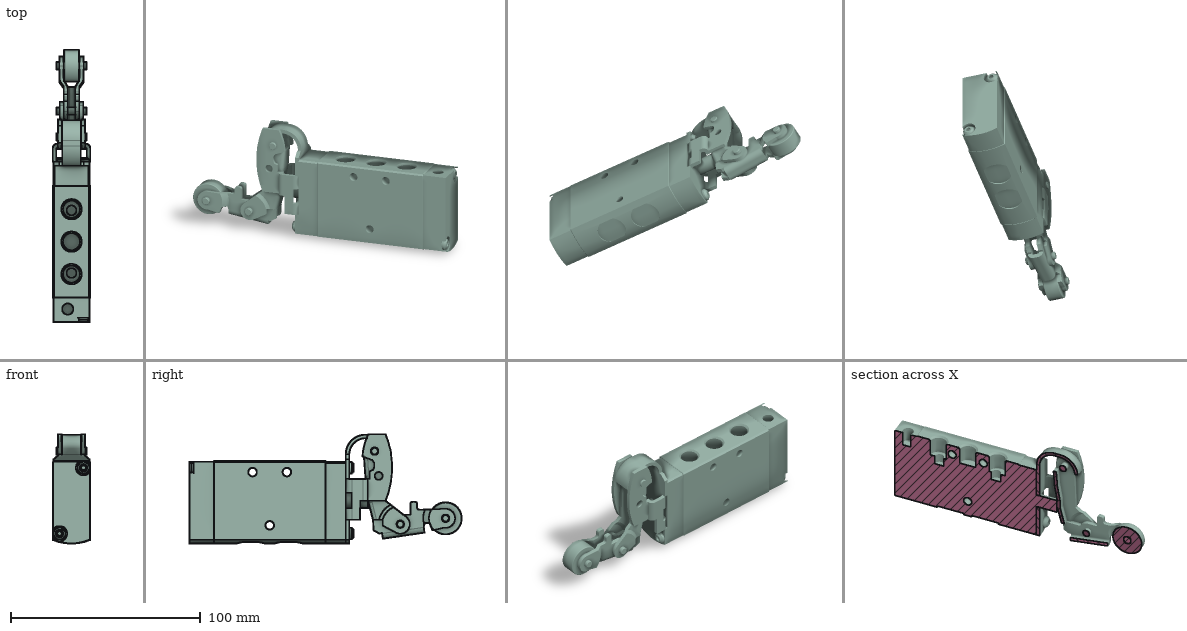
import cadquery as cq
import math


BODY_WIDTH = 20.0
CAP_WIDTH = 19.0
BODY_TOP = 43.6
CAP_TOP = 43.2
DOME_RISE = 2.0
TOP_CHAMFER = 0.8
END_CHAMFER = 0.3
REAR_CAP_END = 12.8
BODY_END = 72.0
FRONT_CAP_END = 82.4
BODY_MID = (REAR_CAP_END + BODY_END) / 2

TOP_PORT_PITCH = 17.1
TOP_PORT_DIAMETER = 9.0
TOP_PORT_MOUTH = 10.8
TOP_PORT_DEPTH = 10.0
PASSAGE_DIAMETER = 5.2
PASSAGE_PITCH = 16.5
PASSAGE_DEPTH = 15.0
BOTTOM_PORT_OFFSET = 10.0
SPOTFACE_DIAMETER = 15.0
SPOTFACE_DEPTH = 0.8
MOUNT_HOLE_DIAMETER = 4.4
MOUNT_UPPER_OFFSET = 9.05
MOUNT_UPPER_Z = 37.7
MOUNT_LOWER_Z = 9.65
CAP_PORT_DIAMETER = 5.92
CAP_PORT_X = -2.0
CAP_PORT_Y = 6.9
CAP_PORT_DEPTH = 8.0

SCREW_PLACES = [(6.3, 40.0), (-6.3, 5.3)]
SCREW_RECESS_DIAMETER = 8.0
SCREW_RECESS_DEPTH = 2.3
SCREW_HEAD_DIAMETER = 6.2
SCREW_HEAD_HEIGHT = 2.2
SCREW_HEAD_CHAMFER = 1.1
SOCKET_DIAMETER = 2.46
SOCKET_DEPTH = 1.2

PLUNGER_DIAMETER = 8.0
PLUNGER_Z = 22.7
PLUNGER_END = 94.2

SHEET = 2.0
CHEEK_INNER = 5.2
CHEEK_OUTER = CHEEK_INNER + SHEET
CHEEK_BOTTOM = 22.5
CHEEK_TOP = 57.72
CHEEK_TOP_BACK = 94.4
CHEEK_FRONT = 103.5
CHEEK_BOW = (106.9, 42.2)
CHEEK_HORN = (91.2, 46.0)
CHEEK_BACK_BOW = (91.9, 50.9)
NOTCH_FOOT = (95.2, 38.2)
NOTCH_LOWER = (96.6, 38.7)
NOTCH_DEEPEST = (97.6, 41.1)
NOTCH_UPPER = (96.3, 44.1)
EAR_HALF_WIDTH = 10.0
EAR_TOP = 34.2
EAR_BOTTOM = 12.5
EAR_BEND_END = 90.1
EAR_FOOT_RADIUS = 3.3
EAR_FOOT_X = EAR_HALF_WIDTH - EAR_FOOT_RADIUS
CHEEK_BACK = 94.15
STRAP_HALF_WIDTH = 5.0
HOOK_INNER_RADIUS = 8.5
HOOK_OUTER_RADIUS = HOOK_INNER_RADIUS + SHEET
HOOK_FLAT = 3.0
HOOK_CENTRE_Z = 47.0
FLARE_BOTTOM = 44.4
FLARE_TOP_HALF_WIDTH = 6.5
SIGHT_HOLE_DIAMETER = 4.15
SIGHT_HOLE = (99.85, 35.7)

PIN_DIAMETER = 4.0
PIN_LENGTH = 16.3
PIN_CHAMFER = 0.3
LEVER_PIVOT = (97.65, 48.75)
LINK_PIVOT = (111.2, 10.25)
ROLLER_DIAMETER = 17.0
ROLLER_PIVOT = (143.59 - ROLLER_DIAMETER / 2, 13.35)
ROLLER_WIDTH = 8.0
ROLLER_EDGE = 0.4
EYE_RADIUS = 5.0
FORK_OUTER = 4.2
FORK_SHEET = 2.2
LEVER_END = 12.5
LINK_FLARE = (9.6, 11.4)
ROLLER_FLARE = (8.8, 11.8)
SHEET_REACH = 60.0


def extrude_x(outline, half_width):
    """Solid between X = -half_width and +half_width from a closed Y-Z outline."""
    return outline.extrude(2 * half_width).translate((-half_width, 0, 0))


def rod_x(pivot, diameter, length):
    """Cylinder along X, centred on X = 0, on a (Y, Z) point."""
    return extrude_x(cq.Workplane("YZ").center(*pivot).circle(diameter / 2), length / 2)


def rod_y(x, z, diameter, start, end):
    """Cylinder along Y between two Y positions."""
    base = cq.Workplane("XZ", origin=(x, start, z))
    return base.circle(diameter / 2).extrude(start - end)


def rod_z(x, y, diameter, bottom, top):
    """Cylinder along Z between two heights."""
    base = cq.Workplane("XY", origin=(x, y, bottom))
    return base.circle(diameter / 2).extrude(top - bottom)


def block(x_range, y_range, z_range):
    """Box given by its low and high limits along each axis."""
    size = [high - low for low, high in (x_range, y_range, z_range)]
    corner = (x_range[0], y_range[0], z_range[0])
    return cq.Workplane("XY", origin=corner).box(*size, centered=False)


def tangent_point(centre, radius, point, side):
    """Point where a line from an outside point touches a circle; side +1 or -1 picks which."""
    dy = point[0] - centre[0]
    dz = point[1] - centre[1]
    angle = math.atan2(dz, dy) + side * math.acos(radius / math.hypot(dy, dz))
    return on_circle(centre, radius, angle)


def on_circle(centre, radius, angle):
    return (centre[0] + radius * math.cos(angle), centre[1] + radius * math.sin(angle))


def mirrored(solid):
    """A solid joined with its mirror image across X = 0."""
    return solid.union(solid.mirror("YZ"))


def flared_sheet(pivot, flare, inner_x, wide_inner_x, thickness):
    """Pair of round sheets that stand wide near a pivot and step inward through a cone."""
    wide_radius, narrow_radius = flare
    wide_part = [(0, wide_inner_x), (wide_radius, wide_inner_x)]
    narrow_part = [(narrow_radius, inner_x), (SHEET_REACH, inner_x)]
    inside = wide_part + narrow_part
    outside = [(r, x + thickness) for r, x in reversed(inside)]
    plane = cq.Plane(origin=(0, *pivot), xDir=(0, 1, 0), normal=(0, 0, -1))
    sheet = cq.Workplane(plane).polyline(inside + outside).close().revolve(360, (0, 0), (0, 1))
    return mirrored(sheet)


def valve_section(width, top, start, end):
    """Length of valve with a domed underside and a flat top."""
    half = width / 2
    profile = (
        cq.Workplane("XZ", origin=(0, start, 0))
        .moveTo(-half, DOME_RISE)
        .threePointArc((0, 0), (half, DOME_RISE))
        .lineTo(half, top)
        .lineTo(-half, top)
        .close()
    )
    return profile.extrude(start - end)


def bevelled_section(width, top, start, end):
    """Valve section with bevelled long top edges."""
    return valve_section(width, top, start, end).edges("|Y and >Z").chamfer(TOP_CHAMFER)


def screw_head(x, z, base, direction):
    """Bevelled screw head rising from Y = base towards +Y or -Y (direction +1 or -1)."""
    top = base + direction * SCREW_HEAD_HEIGHT
    outer_face = ">Y" if direction > 0 else "<Y"
    head = rod_y(x, z, SCREW_HEAD_DIAMETER, base, top).faces(outer_face).chamfer(SCREW_HEAD_CHAMFER)
    return head.cut(rod_y(x, z, SOCKET_DIAMETER, top, top - direction * SOCKET_DEPTH))


def top_port(y):
    """Countersunk round port cutter for the top face."""
    lip = (TOP_PORT_MOUTH - TOP_PORT_DIAMETER) / 2
    bottom = BODY_TOP - TOP_PORT_DEPTH
    half_section = [
        (0, bottom),
        (TOP_PORT_DIAMETER / 2, bottom),
        (TOP_PORT_DIAMETER / 2, BODY_TOP - lip),
        (TOP_PORT_MOUTH / 2, BODY_TOP),
        (0, BODY_TOP),
    ]
    cutter = cq.Workplane("XZ", origin=(0, y, 0)).polyline(half_section).close()
    return cutter.revolve(360, (0, 0), (0, 1))


def make_valve():
    body = bevelled_section(BODY_WIDTH, BODY_TOP, REAR_CAP_END, BODY_END)
    body = body.faces("<Y or >Y").chamfer(END_CHAMFER)
    valve = body.union(valve_section(CAP_WIDTH, CAP_TOP, 0, REAR_CAP_END))
    valve = valve.union(bevelled_section(CAP_WIDTH, CAP_TOP, BODY_END, FRONT_CAP_END))
    valve = valve.union(rod_y(0, PLUNGER_Z, PLUNGER_DIAMETER, BODY_END, PLUNGER_END))

    for step in (-1, 0, 1):
        valve = valve.cut(top_port(BODY_MID + step * TOP_PORT_PITCH))
    for side in (-1, 1):
        passage_y = BODY_MID + side * PASSAGE_PITCH
        valve = valve.cut(rod_z(0, passage_y, PASSAGE_DIAMETER, BODY_TOP - PASSAGE_DEPTH, BODY_TOP))
        port_y = BODY_MID + side * BOTTOM_PORT_OFFSET
        valve = valve.cut(rod_z(0, port_y, SPOTFACE_DIAMETER, 0, SPOTFACE_DEPTH))
    valve = valve.cut(rod_z(CAP_PORT_X, CAP_PORT_Y, CAP_PORT_DIAMETER, CAP_TOP - CAP_PORT_DEPTH, CAP_TOP))

    mount_holes = [
        (BODY_MID - MOUNT_UPPER_OFFSET, MOUNT_UPPER_Z),
        (BODY_MID + MOUNT_UPPER_OFFSET, MOUNT_UPPER_Z),
        (BODY_MID, MOUNT_LOWER_Z),
    ]
    for place in mount_holes:
        valve = valve.cut(rod_x(place, MOUNT_HOLE_DIAMETER, BODY_WIDTH))

    for x, z in SCREW_PLACES:
        valve = valve.cut(rod_y(x, z, SCREW_RECESS_DIAMETER, 0, SCREW_RECESS_DEPTH))
        valve = valve.union(screw_head(x, z, SCREW_RECESS_DEPTH, -1))
    return valve


def hook_strap():
    """Strap that rises from the face plate and curls over the top of the lever."""
    inner_y = FRONT_CAP_END + SHEET
    back_y = FRONT_CAP_END + HOOK_OUTER_RADIUS
    front_y = back_y + HOOK_FLAT
    back = (back_y, HOOK_CENTRE_Z)
    front = (front_y, HOOK_CENTRE_Z)
    outer_top = HOOK_CENTRE_Z + HOOK_OUTER_RADIUS
    inner_top = HOOK_CENTRE_Z + HOOK_INNER_RADIUS
    mid_back = math.radians(135)
    mid_front = math.radians(45)
    outline = (
        cq.Workplane("YZ")
        .moveTo(FRONT_CAP_END, FLARE_BOTTOM)
        .lineTo(FRONT_CAP_END, HOOK_CENTRE_Z)
        .threePointArc(on_circle(back, HOOK_OUTER_RADIUS, mid_back), (back_y, outer_top))
        .lineTo(front_y, outer_top)
        .threePointArc(on_circle(front, HOOK_OUTER_RADIUS, mid_front), on_circle(front, HOOK_OUTER_RADIUS, 0))
        .lineTo(*on_circle(front, HOOK_INNER_RADIUS, 0))
        .threePointArc(on_circle(front, HOOK_INNER_RADIUS, mid_front), (front_y, inner_top))
        .lineTo(back_y, inner_top)
        .threePointArc(on_circle(back, HOOK_INNER_RADIUS, mid_back), (inner_y, HOOK_CENTRE_Z))
        .lineTo(inner_y, FLARE_BOTTOM)
        .close()
    )
    return extrude_x(outline, STRAP_HALF_WIDTH)


def face_plate():
    """Plate on the front cap with a tapering neck up to the strap and side notches for the ears."""
    plate_front = FRONT_CAP_END + SHEET
    neck_points = [
        (-CAP_WIDTH / 2, CAP_TOP),
        (CAP_WIDTH / 2, CAP_TOP),
        (CAP_WIDTH / 2, FLARE_BOTTOM),
        (FLARE_TOP_HALF_WIDTH, HOOK_CENTRE_Z),
        (-FLARE_TOP_HALF_WIDTH, HOOK_CENTRE_Z),
        (-CAP_WIDTH / 2, FLARE_BOTTOM),
    ]
    neck = cq.Workplane("XZ", origin=(0, FRONT_CAP_END, 0)).polyline(neck_points).close().extrude(-SHEET)
    plate = valve_section(CAP_WIDTH, CAP_TOP, FRONT_CAP_END, plate_front).union(neck)
    notch = block((EAR_FOOT_X, CAP_WIDTH / 2), (FRONT_CAP_END, plate_front), (EAR_BOTTOM, EAR_TOP))
    return plate.cut(mirrored(notch))


def cheek():
    """Bow-fronted side plate on the +X side, with a notch in its back edge."""
    outline = (
        cq.Workplane("YZ", origin=(CHEEK_INNER, 0, 0))
        .moveTo(CHEEK_TOP_BACK, CHEEK_TOP)
        .lineTo(CHEEK_FRONT, CHEEK_TOP)
        .threePointArc(CHEEK_BOW, (CHEEK_FRONT, CHEEK_BOTTOM))
        .lineTo(CHEEK_BACK, CHEEK_BOTTOM)
        .lineTo(CHEEK_BACK, EAR_TOP)
        .lineTo(NOTCH_FOOT[0], EAR_TOP)
        .lineTo(*NOTCH_FOOT)
        .lineTo(*NOTCH_LOWER)
        .threePointArc(NOTCH_DEEPEST, NOTCH_UPPER)
        .lineTo(*CHEEK_HORN)
        .threePointArc(CHEEK_BACK_BOW, (CHEEK_TOP_BACK, CHEEK_TOP))
        .close()
    )
    plate = outline.extrude(SHEET)
    return plate.cut(rod_x(SIGHT_HOLE, SIGHT_HOLE_DIAMETER, 2 * CHEEK_OUTER))


def ear():
    """Sheet on the +X side that bends out from the cheek and back in to the face plate."""
    jog = EAR_HALF_WIDTH - CHEEK_OUTER
    jog_y = CHEEK_BACK - jog
    mid_bend = math.radians(45)
    inner_x = EAR_HALF_WIDTH - SHEET
    foot_centre = (EAR_FOOT_X, FRONT_CAP_END + EAR_FOOT_RADIUS)
    jog_outline = (
        cq.Workplane("XY", origin=(0, 0, CHEEK_BOTTOM))
        .moveTo(CHEEK_INNER, CHEEK_BACK)
        .lineTo(CHEEK_OUTER, CHEEK_BACK)
        .threePointArc(on_circle((CHEEK_OUTER, jog_y), jog, mid_bend), (EAR_HALF_WIDTH, jog_y))
        .lineTo(EAR_HALF_WIDTH, EAR_BEND_END)
        .lineTo(inner_x, EAR_BEND_END)
        .lineTo(inner_x, jog_y)
        .lineTo(CHEEK_OUTER, CHEEK_BACK - SHEET)
        .lineTo(CHEEK_INNER, CHEEK_BACK - SHEET)
        .close()
    )
    side_outline = (
        cq.Workplane("XY", origin=(0, 0, EAR_BOTTOM))
        .moveTo(EAR_HALF_WIDTH, EAR_BEND_END)
        .lineTo(EAR_HALF_WIDTH, foot_centre[1])
        .threePointArc(on_circle(foot_centre, EAR_FOOT_RADIUS, -mid_bend), (EAR_FOOT_X, FRONT_CAP_END))
        .lineTo(EAR_FOOT_X, FRONT_CAP_END + SHEET)
        .threePointArc(
            on_circle(foot_centre, EAR_FOOT_RADIUS - SHEET, -mid_bend), (inner_x, foot_centre[1])
        )
        .lineTo(inner_x, EAR_BEND_END)
        .close()
    )
    return jog_outline.extrude(EAR_TOP - CHEEK_BOTTOM).union(side_outline.extrude(EAR_TOP - EAR_BOTTOM))


def plunger_window():
    """Cross slot behind the ears that clears the plunger."""
    return block(
        (-EAR_HALF_WIDTH, EAR_HALF_WIDTH),
        (FRONT_CAP_END, FRONT_CAP_END + EAR_FOOT_RADIUS),
        (PLUNGER_Z - PLUNGER_DIAMETER / 2, PLUNGER_Z + PLUNGER_DIAMETER / 2),
    )


def make_bracket():
    bracket = face_plate().union(hook_strap())
    bracket = bracket.union(mirrored(cheek().union(ear()))).cut(plunger_window())
    bracket = bracket.union(pin_shape(LEVER_PIVOT))
    plate_front = FRONT_CAP_END + SHEET
    for x, z in SCREW_PLACES:
        bracket = bracket.union(screw_head(x, z, plate_front, 1))
    return bracket


def pin_shape(pivot):
    return rod_x(pivot, PIN_DIAMETER, PIN_LENGTH).faces("<X or >X").chamfer(PIN_CHAMFER)


def make_roller():
    roller = rod_x(ROLLER_PIVOT, ROLLER_DIAMETER, ROLLER_WIDTH).faces("<X or >X").edges().fillet(ROLLER_EDGE)
    return roller.cut(rod_x(ROLLER_PIVOT, PIN_DIAMETER, ROLLER_WIDTH))


LEVER_BACK = [(92.0, 45.5), (92.7, 35.7), (94.2, 27.0), (94.4, 21.7), (96.75, LEVER_END)]
LEVER_BEND_RADIUS = 1.8
LEVER_KNEE = (103.6, CHEEK_BOTTOM)
LEVER_CHIN = (101.95, 9.5)


def make_lever():
    """Channel-shaped lever: two cheeks joined by a web along the back, spread around the link pivot."""
    eye_top = on_circle(LEVER_PIVOT, EYE_RADIUS, math.radians(90))
    outline = (
        cq.Workplane("YZ")
        .polyline(LEVER_BACK)
        .lineTo(LEVER_CHIN[0], LEVER_END)
        .lineTo(*LEVER_CHIN)
        .lineTo(*tangent_point(LINK_PIVOT, EYE_RADIUS, LEVER_CHIN, 1))
        .threePointArc(
            on_circle(LINK_PIVOT, EYE_RADIUS, 0), tangent_point(LINK_PIVOT, EYE_RADIUS, LEVER_KNEE, -1)
        )
        .lineTo(*LEVER_KNEE)
        .lineTo(*tangent_point(LEVER_PIVOT, EYE_RADIUS, LEVER_KNEE, 1))
        .threePointArc(eye_top, tangent_point(LEVER_PIVOT, EYE_RADIUS, LEVER_BACK[0], -1))
        .close()
    )
    lever = extrude_x(outline, CHEEK_OUTER).intersect(
        flared_sheet(LINK_PIVOT, LINK_FLARE, CHEEK_INNER - SHEET, FORK_OUTER, SHEET)
    )
    web_front = [(y + SHEET, z) for y, z in reversed(LEVER_BACK)]
    web = extrude_x(cq.Workplane("YZ").polyline(LEVER_BACK + web_front).close(), CHEEK_INNER)
    lever = lever.union(web)
    bend_edges = cq.Workplane()
    for (y1, z1), (y2, z2) in zip(LEVER_BACK, LEVER_BACK[1:]):
        for x in (-CHEEK_INNER, CHEEK_INNER):
            midpoint = (x, (y1 + y2) / 2, (z1 + z2) / 2)
            bend_edges = bend_edges.add(lever.edges(cq.selectors.NearestToPointSelector(midpoint)))
    lever = cq.Workplane(lever.val().fillet(LEVER_BEND_RADIUS, bend_edges.vals()))
    for pivot in (LEVER_PIVOT, LINK_PIVOT):
        lever = lever.cut(rod_x(pivot, PIN_DIAMETER, PIN_LENGTH))
    return lever


FORK_TOP = 17.9
FORK_TAB_TOP = 22.1
FORK_TAB = (116.5, 120.1)
FORK_TAB_FILLET = 1.2
FORK_NECK_Y = 123.4
FORK_NECK_BOTTOM = 10.8
FORK_NECK_SLOPE = 0.7
FORK_CHIN = [(128.1, 7.0), (126.6, FORK_NECK_BOTTOM)]
ROLLER_EYE_ANGLE = -100
FORK_WEB_TOE = (123.6, 8.75)
FORK_WEB_LENGTH = 22.3
FORK_HEEL = [(100.1, 5.3), (97.1, 7.0), (96.75, LEVER_END)]
FORK_BEND_RADIUS = 0.8


def fork_web():
    """Rounded U-bend along the underside of the arms, from the toe towards the heel."""
    heel_y, heel_z = FORK_HEEL[0]
    along = (0, heel_y - FORK_WEB_TOE[0], heel_z - FORK_WEB_TOE[1])
    plane = cq.Plane(origin=(0, *FORK_WEB_TOE), xDir=(1, 0, 0), normal=along)
    inner_x = FORK_OUTER - FORK_SHEET
    flat_x = inner_x - FORK_BEND_RADIUS
    outer_radius = FORK_BEND_RADIUS + FORK_SHEET
    left = (-flat_x, 0)
    right = (flat_x, 0)
    left_down = math.radians(-135)
    right_down = math.radians(-45)
    profile = (
        cq.Workplane(plane)
        .moveTo(-FORK_OUTER, 0)
        .threePointArc(on_circle(left, outer_radius, left_down), (-flat_x, -outer_radius))
        .lineTo(flat_x, -outer_radius)
        .threePointArc(on_circle(right, outer_radius, right_down), (FORK_OUTER, 0))
        .lineTo(inner_x, 0)
        .threePointArc(on_circle(right, FORK_BEND_RADIUS, right_down), (flat_x, -FORK_BEND_RADIUS))
        .lineTo(-flat_x, -FORK_BEND_RADIUS)
        .threePointArc(on_circle(left, FORK_BEND_RADIUS, left_down), (-inner_x, 0))
        .close()
    )
    return profile.extrude(FORK_WEB_LENGTH)


def make_fork():
    """Channel that carries the roller: two arms joined by a web along the underside."""
    link_y, link_z = LINK_PIVOT
    eye_back_y = link_y - math.sqrt(EYE_RADIUS**2 - (LEVER_END - link_z) ** 2)
    roller_eye_bottom = on_circle(ROLLER_PIVOT, EYE_RADIUS, math.radians(ROLLER_EYE_ANGLE))
    roller_y, roller_z = ROLLER_PIVOT
    arm = (
        cq.Workplane("YZ")
        .moveTo(link_y, link_z + EYE_RADIUS)
        .lineTo(FORK_TAB[0], link_z + EYE_RADIUS)
        .lineTo(FORK_TAB[0], FORK_TAB_TOP)
        .lineTo(FORK_TAB[1], FORK_TAB_TOP)
        .lineTo(FORK_TAB[1], FORK_TOP)
        .lineTo(roller_y, roller_z + EYE_RADIUS)
        .threePointArc(on_circle(ROLLER_PIVOT, EYE_RADIUS, 0), roller_eye_bottom)
        .polyline(FORK_CHIN, includeCurrent=True)
        .lineTo(FORK_NECK_Y + FORK_NECK_SLOPE, FORK_NECK_BOTTOM)
        .lineTo(*FORK_WEB_TOE)
        .polyline(FORK_HEEL, includeCurrent=True)
        .lineTo(eye_back_y, LEVER_END)
        .threePointArc(on_circle(LINK_PIVOT, EYE_RADIUS, math.radians(120)), (link_y, link_z + EYE_RADIUS))
        .close()
    )
    arm = extrude_x(arm, PIN_LENGTH / 2)
    for place in ((FORK_TAB[0], FORK_TAB_TOP), (FORK_TAB[1], FORK_TAB_TOP), (FORK_TAB[1], FORK_TOP)):
        corner = cq.selectors.NearestToPointSelector((0, *place))
        arm = arm.edges("|X").edges(corner).fillet(FORK_TAB_FILLET)
    fork = arm.intersect(
        flared_sheet(ROLLER_PIVOT, ROLLER_FLARE, FORK_OUTER - FORK_SHEET, FORK_OUTER, FORK_SHEET)
    )
    fork = fork.union(fork_web())
    for pivot in (LINK_PIVOT, ROLLER_PIVOT):
        fork = fork.cut(rod_x(pivot, PIN_DIAMETER, PIN_LENGTH))
    return fork


valve = make_valve()
bracket = make_bracket()
lever = make_lever()
fork = make_fork()
roller = make_roller()
pins = [pin_shape(pivot).val() for pivot in (LINK_PIVOT, ROLLER_PIVOT)]

result = cq.Compound.makeCompound(
    [valve.val(), bracket.val(), lever.val(), fork.val(), roller.val(), *pins]
)